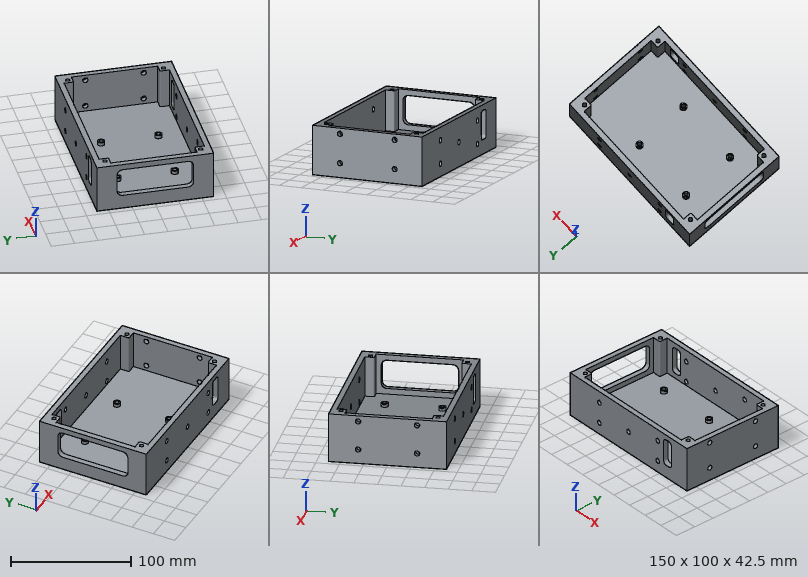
import cadquery as cq

length = 150.0
width = 100.0
height = 42.5
wall = 5.0
floor_thickness = 7.5

post_size = 8.1
post_edge_radius = 1.0
lid_hole_inset = 9.0
lid_hole_diameter = 3.5
lid_hole_depth = 20.0

standoff_center_x = -13.0
standoff_spacing_x = 58.0
standoff_spacing_y = 49.0
standoff_diameter = 6.0
standoff_height = 3.0
standoff_hole_diameter = 3.6

wall_hole_diameter = 4.4
side_hole_spacing_x = 75.0
side_hole_spacing_z = 20.1
end_hole_spacing_y = 50.0

opening_height = 25.0
opening_top_margin = wall
opening_center_z = height - opening_top_margin - opening_height / 2
end_window_width = 65.5
end_window_radius = 5.0
side_slot_width = 10.0
side_slot_center_x = 50.1
side_slot_radius = 3.0

cavity_length = length - 2 * wall
cavity_width = width - 2 * wall
cavity_depth = height - floor_thickness


def rectangle_corners(spacing_x, spacing_y, center_x=0, center_y=0):
    """Corner points of a rectangle with the given spacings."""
    return [
        (center_x + sign_x * spacing_x / 2, center_y + sign_y * spacing_y / 2)
        for sign_x in (-1, 1)
        for sign_y in (-1, 1)
    ]


def make_cavity():
    """Interior space: a rectangle notched at each corner by a post."""
    cavity = cq.Workplane("XY").box(cavity_length, cavity_width, cavity_depth, centered=(True, True, False))
    posts = (
        cq.Workplane("XY")
        .pushPoints(rectangle_corners(cavity_length, cavity_width))
        .rect(2 * post_size, 2 * post_size)
        .extrude(cavity_depth)
        .edges("|Z")
        .fillet(post_edge_radius)
    )
    return cavity.cut(posts).translate((0, 0, floor_thickness))


def make_standoffs():
    """Round bosses standing on the floor."""
    return (
        cq.Workplane("XY")
        .workplane(offset=floor_thickness)
        .pushPoints(rectangle_corners(standoff_spacing_x, standoff_spacing_y, standoff_center_x))
        .circle(standoff_diameter / 2)
        .extrude(standoff_height)
    )


def make_standoff_holes():
    """Holes through the standoffs and the floor."""
    return (
        cq.Workplane("XY")
        .pushPoints(rectangle_corners(standoff_spacing_x, standoff_spacing_y, standoff_center_x))
        .circle(standoff_hole_diameter / 2)
        .extrude(floor_thickness + standoff_height)
    )


def make_lid_holes():
    """Blind holes in the tops of the corner posts."""
    return (
        cq.Workplane("XY")
        .workplane(offset=height)
        .pushPoints(rectangle_corners(length - 2 * lid_hole_inset, width - 2 * lid_hole_inset))
        .circle(lid_hole_diameter / 2)
        .extrude(-lid_hole_depth)
    )


def make_side_holes():
    """Five-hole pattern through both long walls."""
    corners = rectangle_corners(side_hole_spacing_x, side_hole_spacing_z, center_y=height / 2)
    return (
        cq.Workplane("XZ")
        .pushPoints(corners + [(0, height / 2)])
        .circle(wall_hole_diameter / 2)
        .extrude(width / 2, both=True)
    )


def make_end_holes():
    """Four holes through the +X wall, level with the top and bottom of the window."""
    return (
        cq.Workplane("YZ")
        .workplane(offset=length / 2)
        .pushPoints(rectangle_corners(end_hole_spacing_y, opening_height, center_y=opening_center_z))
        .circle(wall_hole_diameter / 2)
        .extrude(-wall)
    )


def make_end_window():
    """Wide rounded window through the -X wall."""
    return (
        cq.Workplane("XY")
        .box(wall, end_window_width, opening_height)
        .edges("|X")
        .fillet(end_window_radius)
        .translate((-(length - wall) / 2, 0, opening_center_z))
    )


def make_side_slot(side):
    """Upright slot through one long wall; the two slots sit at opposite ends."""
    return (
        cq.Workplane("XY")
        .box(side_slot_width, wall, opening_height)
        .edges("|Y")
        .fillet(side_slot_radius)
        .translate((-side * side_slot_center_x, side * (width - wall) / 2, opening_center_z))
    )


result = (
    cq.Workplane("XY")
    .box(length, width, height, centered=(True, True, False))
    .cut(make_cavity())
    .union(make_standoffs())
    .cut(make_standoff_holes())
    .cut(make_lid_holes())
    .cut(make_side_holes())
    .cut(make_end_holes())
    .cut(make_end_window())
    .cut(make_side_slot(-1))
    .cut(make_side_slot(1))
)